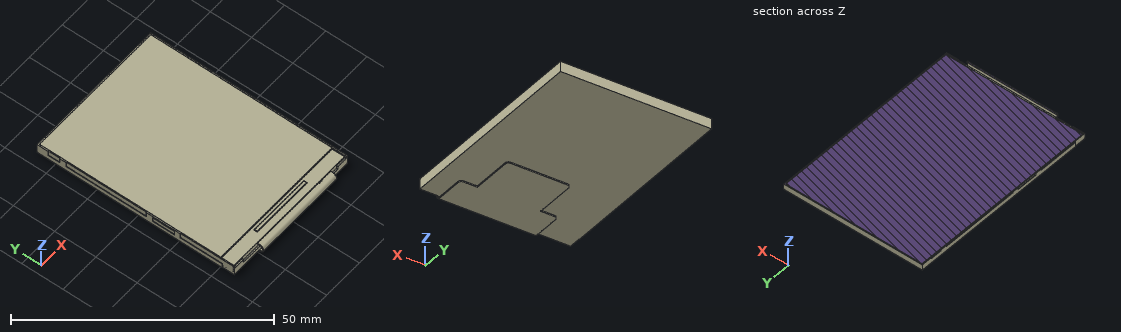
import cadquery as cq


MODULE_LENGTH = 48.8
WIDTH = 34.6

TAIL_THICKNESS = 0.3
BEND_RADIUS = 1.03
TAIL_LEFT = -9.55
TAIL_RIGHT = 12.75
WIDE_TAIL_END_Y = -16.4
NARROW_TAIL_END_Y = -6.2
NARROW_TAIL_INSET = 3.9
TAIL_CORNER_RADIUS = 0.75
SLIT_LEFT = 9.2
SLIT_RIGHT = 9.95

FRAME_HEIGHT = 2.4
WALL = 0.35
FLOOR = 0.35
FRONT_WALL_DROP = 0.5
NOTCH_DEPTH = 1.25
NOTCH_HALF_WIDTH = 14.35
BACK_Y = MODULE_LENGTH / 2
FRONT_Y = BEND_RADIUS - MODULE_LENGTH / 2
INNER_FRONT_Y = FRONT_Y + WALL
INNER_BACK_Y = BACK_Y - WALL
INNER_WIDTH = WIDTH - 2 * WALL

RECESS_DEPTH = 0.1
RECESS_DROP = 1.2
RIM_RECESSES = [(18.95, 21.72), (-2.1, 17.35)]
CLOSED_RECESS = (-8.95, -3.65)
CLOSED_RECESS_TOP_DROP = 0.4
CLOSED_RECESS_BOTTOM_DROP = 1.4
CORNER_RECESS_BACK_Y = -10.35
CORNER_RECESS_FULL_HEIGHT_Y = -20.5

PANEL_GAP = 0.12
PANEL_FRONT_Y = INNER_FRONT_Y + PANEL_GAP
LEDGE_BACK_Y = -19.9
LEDGE_DROP = 0.4
LEDGE_Z = FRAME_HEIGHT - LEDGE_DROP

CHIP_LENGTH = 15.25
CHIP_BACK_Y = -20.5
CHIP_FRONT_Y = -21.35
CHIP_HEIGHT = 0.1
CHIP_CHAMFER = 0.095


def block(x_range, y_range, z_range):
    """An axis-aligned box given by its limits along each axis."""
    (x0, x1), (y0, y1), (z0, z1) = x_range, y_range, z_range
    return cq.Workplane("XY").box(x1 - x0, y1 - y0, z1 - z0, centered=False).translate((x0, y0, z0))


def centred(width):
    """Limits of a span of the given width about X = 0."""
    return (-width / 2, width / 2)


def side_recesses():
    """Cutters for the recesses of the left wall."""
    x_range = (-WIDTH / 2, -WIDTH / 2 + RECESS_DEPTH)
    recess_floor = FRAME_HEIGHT - RECESS_DROP
    cutters = block(x_range, (FRONT_Y, CORNER_RECESS_BACK_Y), (recess_floor, FRAME_HEIGHT))
    cutters = cutters.union(block(x_range, (FRONT_Y, CORNER_RECESS_FULL_HEIGHT_Y), (0, FRAME_HEIGHT)))
    for y_range in RIM_RECESSES:
        cutters = cutters.union(block(x_range, y_range, (recess_floor, FRAME_HEIGHT)))
    closed_z = (FRAME_HEIGHT - CLOSED_RECESS_BOTTOM_DROP, FRAME_HEIGHT - CLOSED_RECESS_TOP_DROP)
    return cutters.union(block(x_range, CLOSED_RECESS, closed_z))


def make_frame():
    """Open tray with a lowered, notched front wall and a recessed left wall."""
    frame = block(centred(WIDTH), (FRONT_Y, BACK_Y), (0, FRAME_HEIGHT))
    pocket = block(centred(INNER_WIDTH), (INNER_FRONT_Y, INNER_BACK_Y), (FLOOR, FRAME_HEIGHT))
    front_wall_y = (FRONT_Y, INNER_FRONT_Y)
    lowering = block(centred(INNER_WIDTH), front_wall_y, (FRAME_HEIGHT - FRONT_WALL_DROP, FRAME_HEIGHT))
    notch = block(centred(2 * NOTCH_HALF_WIDTH), front_wall_y, (FRAME_HEIGHT - NOTCH_DEPTH, FRAME_HEIGHT))
    return frame.cut(pocket).cut(lowering).cut(notch).cut(side_recesses())


def make_slab():
    """Panel slab, flush with the rim, with a lower ledge along its front."""
    slab = block(centred(INNER_WIDTH), (PANEL_FRONT_Y, INNER_BACK_Y), (FLOOR, FRAME_HEIGHT))
    step = block(centred(INNER_WIDTH), (PANEL_FRONT_Y, LEDGE_BACK_Y), (LEDGE_Z, FRAME_HEIGHT))
    return slab.cut(step)


def make_chip():
    """Low driver chip with sloping sides, standing on the ledge."""
    chip = block(centred(CHIP_LENGTH), (CHIP_FRONT_Y, CHIP_BACK_Y), (LEDGE_Z, LEDGE_Z + CHIP_HEIGHT))
    return chip.faces(">Z").chamfer(CHIP_CHAMFER)


def make_bend():
    """Upper lead and half-turn bend of the tail, swept across its full width."""
    bottom = -TAIL_THICKNESS
    top = bottom + 2 * BEND_RADIUS
    centre_z = bottom + BEND_RADIUS
    inner_radius = BEND_RADIUS - TAIL_THICKNESS
    profile = (
        cq.Workplane("YZ", origin=(TAIL_LEFT, 0, 0))
        .moveTo(PANEL_FRONT_Y, top)
        .lineTo(FRONT_Y, top)
        .threePointArc((FRONT_Y - BEND_RADIUS, centre_z), (FRONT_Y, bottom))
        .lineTo(FRONT_Y, 0)
        .threePointArc((FRONT_Y - inner_radius, centre_z), (FRONT_Y, top - TAIL_THICKNESS))
        .lineTo(PANEL_FRONT_Y, top - TAIL_THICKNESS)
        .close()
    )
    bend = profile.extrude(TAIL_RIGHT - TAIL_LEFT)
    slit = block((SLIT_LEFT, SLIT_RIGHT), (INNER_FRONT_Y, PANEL_FRONT_Y), (top - TAIL_THICKNESS, top))
    return bend.cut(slit)


def tail_strip(x_range, end_y):
    """Flat strip under the frame, from the bend to a round-cornered end."""
    strip = block(x_range, (FRONT_Y, end_y), (-TAIL_THICKNESS, 0))
    return strip.edges("|Z and >Y").fillet(TAIL_CORNER_RADIUS)


def make_panel():
    """Panel slab, chip and flexible tail as one piece."""
    wide = tail_strip((TAIL_LEFT, TAIL_RIGHT), WIDE_TAIL_END_Y)
    narrow = tail_strip((TAIL_LEFT + NARROW_TAIL_INSET, TAIL_RIGHT - NARROW_TAIL_INSET), NARROW_TAIL_END_Y)
    return make_slab().union(make_chip()).union(make_bend()).union(wide).union(narrow)


frame = make_frame()
panel = make_panel()

result = cq.Compound.makeCompound([frame.val(), panel.val()])